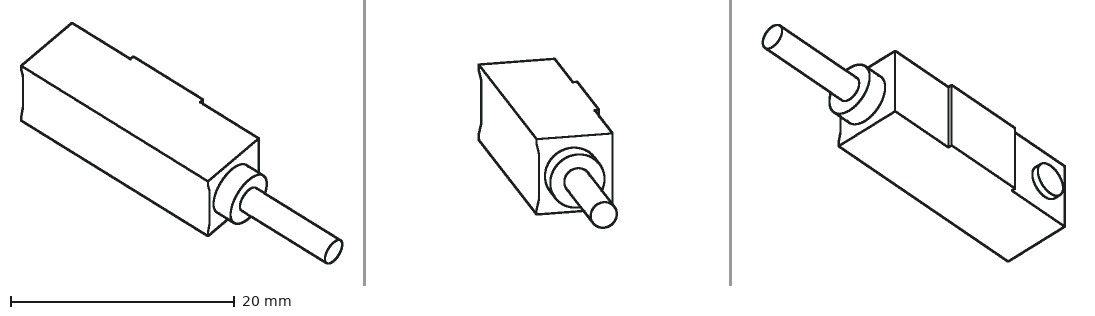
import cadquery as cq

total_length = 34.0
body_length = 22.0
body_depth = 7.0
body_height = 7.1

groove_depth = 0.25
lip_height = 0.5
flank_height = 1.02

collar_length = 2.0
collar_diameter = 5.0
cable_diameter = 2.4
cable_y = 3.25

button_diameter = 3.25
button_height = 0.68
button_x = 2.6
plate_start = 6.87
plate_length = 8.23
plate_rise = 0.4
plate_thickness = 0.95


def make_body():
    half_height = body_height / 2
    groove_half = half_height - lip_height
    floor_half = groove_half - flank_height
    profile = [
        (body_depth, -half_height),
        (0, -half_height),
        (0, -groove_half),
        (groove_depth, -floor_half),
        (groove_depth, floor_half),
        (0, groove_half),
        (0, half_height),
        (body_depth, half_height),
    ]
    return cq.Workplane("YZ").polyline(profile).close().extrude(body_length)


def make_cable_outlet():
    section = cq.Workplane("YZ", origin=(body_length, cable_y, 0))
    collar = section.circle(collar_diameter / 2).extrude(collar_length)
    cable = section.circle(cable_diameter / 2).extrude(total_length - body_length)
    return collar.union(cable)


def make_button():
    face = cq.Workplane("XZ", origin=(button_x, body_depth, 0))
    return face.circle(button_diameter / 2).extrude(-button_height)


def make_plate():
    plate_y = body_depth + plate_rise - plate_thickness
    return cq.Workplane("XY").box(
        plate_length, plate_thickness, body_height, centered=(False, False, True)
    ).translate((plate_start, plate_y, 0))


result = make_body().union(make_cable_outlet()).union(make_button()).union(make_plate())